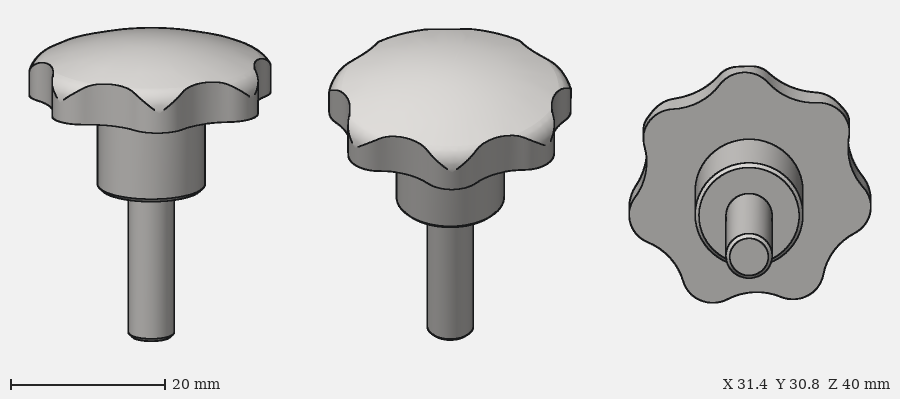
import cadquery as cq
import math


stud_diameter = 6.0
stud_length = 20.0

hub_diameter = 14.0
hub_length = 12.0

edge_chamfer = 0.5

lobe_count = 7
lobe_radius = 4.0
lobe_circle_radius = 12.0
valley_radius = 8.0
head_height = 8.0
dome_radius = 40.0
rim_fillet = 3.0

hub_bottom = stud_length
head_bottom = hub_bottom + hub_length
head_top = head_bottom + head_height
head_radius = lobe_circle_radius + lobe_radius
lobe_pitch = 2 * math.pi / lobe_count
first_lobe_angle = math.pi / 2


def polar(radius, angle):
    """Point in the XY plane at a distance and direction from the axis."""
    return (radius * math.cos(angle), radius * math.sin(angle))


def chamfered_rod(diameter, bottom, length):
    """Round rod rising from the bottom level, chamfered on its lower edge."""
    rod = cq.Workplane("XY").workplane(offset=bottom).circle(diameter / 2).extrude(length)
    return rod.faces("<Z").chamfer(edge_chamfer)


def star_prism():
    """Seven convex lobes joined by tangent concave valleys, at full head height."""
    half_pitch = lobe_pitch / 2
    centre_spacing = lobe_radius + valley_radius
    half_chord = lobe_circle_radius * math.sin(half_pitch)
    valley_circle_radius = lobe_circle_radius * math.cos(half_pitch) + math.sqrt(
        centre_spacing**2 - half_chord**2
    )
    valley_floor_radius = valley_circle_radius - valley_radius

    valley_x, valley_y = polar(valley_circle_radius, half_pitch)
    blend = lobe_radius / centre_spacing
    tangent_x = lobe_circle_radius + (valley_x - lobe_circle_radius) * blend
    tangent_y = valley_y * blend
    tangent_radius = math.hypot(tangent_x, tangent_y)
    tangent_angle = math.atan2(tangent_y, tangent_x)

    outline = cq.Workplane("XY").workplane(offset=head_bottom)
    outline = outline.moveTo(*polar(tangent_radius, first_lobe_angle - tangent_angle))
    for index in range(lobe_count):
        lobe_angle = first_lobe_angle + index * lobe_pitch
        next_lobe_angle = lobe_angle + lobe_pitch
        outline = outline.threePointArc(
            polar(head_radius, lobe_angle),
            polar(tangent_radius, lobe_angle + tangent_angle),
        )
        outline = outline.threePointArc(
            polar(valley_floor_radius, lobe_angle + half_pitch),
            polar(tangent_radius, next_lobe_angle - tangent_angle),
        )
    return outline.close().extrude(head_height)


def domed_disc():
    """Round disc with a spherical top and a rim fillet tangent to dome and side."""
    dome_centre_z = head_top - dome_radius
    fillet_centre_r = head_radius - rim_fillet
    fillet_slope = math.asin(fillet_centre_r / (dome_radius - rim_fillet))
    fillet_centre_z = dome_centre_z + (dome_radius - rim_fillet) * math.cos(fillet_slope)
    fillet_mid_slope = (fillet_slope + math.pi / 2) / 2

    def dome_point(slope):
        return (dome_radius * math.sin(slope), dome_centre_z + dome_radius * math.cos(slope))

    fillet_mid = (
        fillet_centre_r + rim_fillet * math.sin(fillet_mid_slope),
        fillet_centre_z + rim_fillet * math.cos(fillet_mid_slope),
    )
    profile = (
        cq.Workplane("XZ")
        .moveTo(0, head_bottom)
        .lineTo(head_radius, head_bottom)
        .lineTo(head_radius, fillet_centre_z)
        .threePointArc(fillet_mid, dome_point(fillet_slope))
        .threePointArc(dome_point(fillet_slope / 2), (0, head_top))
        .close()
    )
    return profile.revolve(360, (0, 0, 0), (0, 1, 0))


stud = chamfered_rod(stud_diameter, 0, stud_length)
hub = chamfered_rod(hub_diameter, hub_bottom, hub_length)
head = star_prism().intersect(domed_disc())

result = stud.union(hub).union(head)